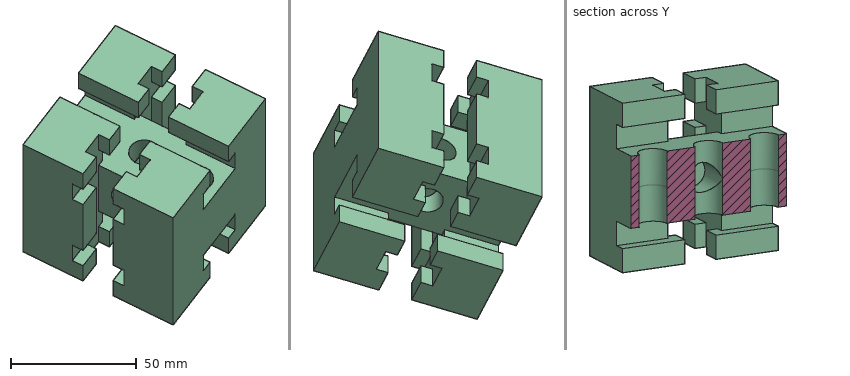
import cadquery as cq

side = 70.0
half_side = side / 2

slot_mouth_width = 14.0
slot_undercut_width = 24.0
slot_lip_depth = 10.0
slot_depth = 2 * slot_lip_depth

hole_diameter = 12.3
outer_hole_offset = half_side - slot_lip_depth


def t_slot():
    """T-slot running along Y, cut down into the +Z face."""
    cut_length = side
    mouth = cq.Workplane("XY").box(
        slot_mouth_width, cut_length, slot_depth
    ).translate((0, 0, half_side - slot_depth / 2))
    undercut_height = slot_depth - slot_lip_depth
    undercut = cq.Workplane("XY").box(
        slot_undercut_width, cut_length, undercut_height
    ).translate((0, 0, half_side - slot_depth + undercut_height / 2))
    return mouth.union(undercut)


body = cq.Workplane("XY").box(side, side, side)

slot_along_y = t_slot()
slot_along_x = slot_along_y.rotate((0, 0, 0), (0, 0, 1), 90)
slot_along_z = slot_along_y.rotate((0, 0, 0), (1, 0, 0), 90)

for slot in (slot_along_y, slot_along_x, slot_along_z):
    opposite_slot = slot.rotate((0, 0, 0), (1, 0, 0), 180)
    body = body.cut(slot).cut(opposite_slot)

vertical_holes = (
    cq.Workplane("XY")
    .pushPoints([(-outer_hole_offset, 0), (0, 0), (outer_hole_offset, 0)])
    .circle(hole_diameter / 2)
    .extrude(half_side, both=True)
)

cross_hole = cq.Workplane("XZ").circle(hole_diameter / 2).extrude(half_side, both=True)

result = body.cut(vertical_holes).cut(cross_hole)